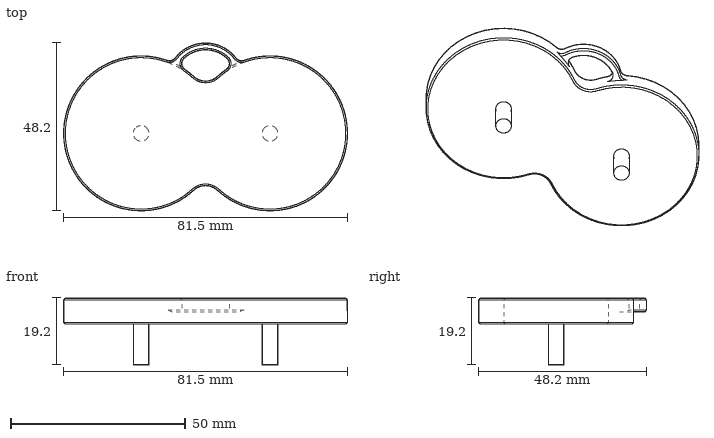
import cadquery as cq
import math

disc_radius = 22.26
disc_spacing = 37.0
plate_thickness = 7.5
valley_radius = 5.0
edge_chamfer = 0.5

loop_radius = 11.0
loop_tip_y = 25.96
loop_wall = 2.0
loop_thickness = 4.0
loop_blend_radius = 2.0
hole_corner_radius = 2.0

pin_diameter = 4.5
pin_length = 11.7

disc_x = disc_spacing / 2
loop_y = loop_tip_y - loop_radius
hole_radius = loop_radius - loop_wall
loop_bottom_z = plate_thickness - loop_thickness


def double_disc(bottom_z, height):
    """Prism of the two discs with a tangent arc in the valley on each side."""
    center_distance = disc_radius + valley_radius
    valley_center_y = math.sqrt(center_distance**2 - disc_x**2)
    valley_y = valley_center_y - valley_radius
    tangent_x = disc_x * valley_radius / center_distance
    tangent_y = valley_center_y * disc_radius / center_distance
    end_x = disc_x + disc_radius
    return (
        cq.Workplane("XY", origin=(0, 0, bottom_z))
        .moveTo(-tangent_x, tangent_y)
        .threePointArc((0, valley_y), (tangent_x, tangent_y))
        .threePointArc((end_x, 0), (tangent_x, -tangent_y))
        .threePointArc((0, -valley_y), (-tangent_x, -tangent_y))
        .threePointArc((-end_x, 0), (-tangent_x, tangent_y))
        .close()
        .extrude(height)
    )


def disc_crossing(radius):
    """Upper crossing of the right disc with a circle around the loop centre."""
    distance = math.hypot(disc_x, loop_y)
    along = (radius**2 - disc_radius**2 + distance**2) / (2 * distance)
    across = math.sqrt(radius**2 - along**2)
    x = (along * disc_x + across * loop_y) / distance
    y = loop_y + (across * disc_x - along * loop_y) / distance
    return x, y


def round_crossings(solid, circle_radius, fillet_radius):
    """Round the pair of upright edges where the loop circle meets the discs."""
    x, y = disc_crossing(circle_radius)
    middle_z = loop_bottom_z + loop_thickness / 2
    for side in (-1, 1):
        corner = cq.selectors.NearestToPointSelector((side * x, y, middle_z))
        solid = solid.edges("|Z").edges(corner).fillet(fillet_radius)
    return solid


def loop_cylinder(radius):
    base = cq.Workplane("XY", origin=(0, loop_y, loop_bottom_z))
    return base.circle(radius).extrude(loop_thickness)


def make_plate():
    plate = double_disc(0, plate_thickness)
    return plate.faces("<Z or >Z").edges().chamfer(edge_chamfer)


def make_loop_layer():
    """Upper layer: disc outline and loop, with the hole beveled on its top rim only."""
    discs = double_disc(loop_bottom_z, loop_thickness)
    layer = round_crossings(discs.union(loop_cylinder(loop_radius)), loop_radius, loop_blend_radius)
    hole = round_crossings(loop_cylinder(hole_radius).cut(discs), hole_radius, hole_corner_radius)
    layer = layer.faces("<Z").edges().chamfer(edge_chamfer).cut(hole)
    return layer.faces(">Z").edges().chamfer(edge_chamfer)


def make_pins():
    base = cq.Workplane("XY").pushPoints([(-disc_x, 0), (disc_x, 0)])
    return base.circle(pin_diameter / 2).extrude(-pin_length)


result = make_plate().union(make_loop_layer()).union(make_pins())